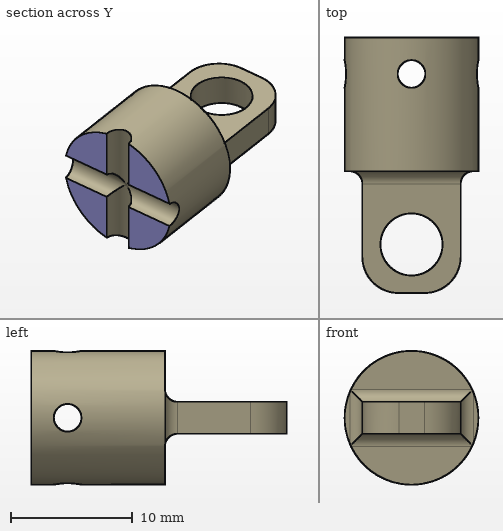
import cadquery as cq
import math

BODY_DIAMETER = 11.0
BODY_LENGTH = 11.0

TAB_LENGTH = 10.0
TAB_WIDTH = 8.1
TAB_THICKNESS = 2.65
TAB_CORNER_RADIUS = 3.0
ROOT_FILLET_RADIUS = 1.0
EYE_DIAMETER = 5.08
EYE_TO_TIP = 4.0

PIN_HOLE_DIAMETER = 2.25
PIN_HOLE_TO_BACK = 3.0

EYE_Y = EYE_TO_TIP - TAB_LENGTH
PIN_HOLE_Y = BODY_LENGTH - PIN_HOLE_TO_BACK


def y_cylinder(diameter, y_start, y_end):
    """Cylinder on the Y axis between two Y positions."""
    return (
        cq.Workplane("XZ", origin=(0, y_start, 0))
        .circle(diameter / 2)
        .extrude(y_start - y_end)
    )


def through_hole(plane, y, diameter):
    """Cutter crossing the whole body, normal to the plane and centred at y."""
    return (
        cq.Workplane(plane, origin=(0, y, 0))
        .workplane(offset=-BODY_DIAMETER)
        .circle(diameter / 2)
        .extrude(2 * BODY_DIAMETER)
    )


def flared_plate(plane, width):
    """Plate whose outline has the given width and flares by root fillets where it meets Y = 0.

    The plane's local x axis runs along -Y, from the body to the tab tip.
    """
    half_width = width / 2
    root_half_width = half_width + ROOT_FILLET_RADIUS
    fillet_centre = (ROOT_FILLET_RADIUS, root_half_width)
    fillet_offset = ROOT_FILLET_RADIUS * math.cos(math.radians(45))
    mid_x = fillet_centre[0] - fillet_offset
    mid_y = fillet_centre[1] - fillet_offset
    return (
        cq.Workplane(plane)
        .moveTo(0, root_half_width)
        .threePointArc((mid_x, mid_y), (ROOT_FILLET_RADIUS, half_width))
        .lineTo(TAB_LENGTH, half_width)
        .lineTo(TAB_LENGTH, -half_width)
        .lineTo(ROOT_FILLET_RADIUS, -half_width)
        .threePointArc((mid_x, -mid_y), (0, -root_half_width))
        .close()
        .extrude(BODY_DIAMETER, both=True)
    )


def make_tab():
    """Rounded tab with mitred root fillets, trimmed to the body diameter."""
    width_plane = cq.Plane(origin=(0, 0, 0), xDir=(0, -1, 0), normal=(0, 0, 1))
    thickness_plane = cq.Plane(origin=(0, 0, 0), xDir=(0, -1, 0), normal=(1, 0, 0))
    outline = flared_plate(width_plane, TAB_WIDTH)
    outline = outline.edges("|Z and <Y").fillet(TAB_CORNER_RADIUS)
    tab = outline.intersect(flared_plate(thickness_plane, TAB_THICKNESS))
    envelope = y_cylinder(BODY_DIAMETER, -TAB_LENGTH, 0)
    return tab.intersect(envelope).cut(through_hole("XY", EYE_Y, EYE_DIAMETER))


def make_body():
    """Solid cylinder with pin holes along X and Z."""
    body = y_cylinder(BODY_DIAMETER, 0, BODY_LENGTH)
    for plane in ("YZ", "XY"):
        body = body.cut(through_hole(plane, PIN_HOLE_Y, PIN_HOLE_DIAMETER))
    return body


result = make_body().union(make_tab())